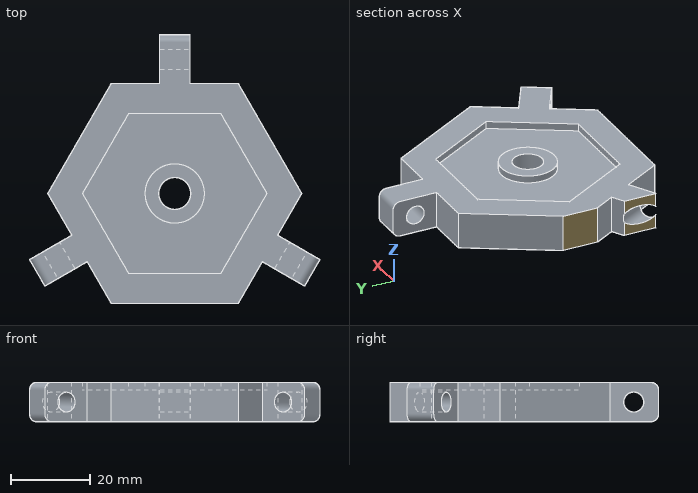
import cadquery as cq
import math

thickness = 10.0
hex_apothem = 27.8
pocket_apothem = 20.2
pocket_depth = 2.0

boss_diameter = 15.0
bore_diameter = 8.0

lug_count = 3
lug_reach = 40.2
lug_width = 7.8
lug_corner_radius = 2.0
lug_hole_diameter = 5.0
lug_hole_radius_from_axis = 33.85


def hexagon(apothem, height):
    """Hexagonal prism on Z = 0 with two corners on the X axis."""
    corner_diameter = 2 * apothem / math.cos(math.pi / 6)
    return cq.Workplane("XY").polygon(6, corner_diameter).extrude(height)


def lug():
    """Lug along +Y with rounded outer edges and a cross hole along X."""
    body = (
        cq.Workplane("XY")
        .box(lug_width, lug_reach - pocket_apothem, thickness, centered=(True, False, False))
        .translate((0, pocket_apothem, 0))
        .edges(">Y and |X")
        .fillet(lug_corner_radius)
    )
    hole = (
        cq.Workplane("YZ")
        .center(lug_hole_radius_from_axis, thickness / 2)
        .circle(lug_hole_diameter / 2)
        .extrude(lug_width, both=True)
    )
    return body.cut(hole)


plate = hexagon(hex_apothem, thickness)
for index in range(lug_count):
    plate = plate.union(lug().rotate((0, 0, 0), (0, 0, 1), index * 360 / lug_count))

pocket_floor = thickness - pocket_depth
boss = cq.Workplane("XY").circle(boss_diameter / 2).extrude(thickness)
pocket = hexagon(pocket_apothem, pocket_depth).translate((0, 0, pocket_floor)).cut(boss)

bore = cq.Workplane("XY").circle(bore_diameter / 2).extrude(thickness)

result = plate.cut(pocket).cut(bore)